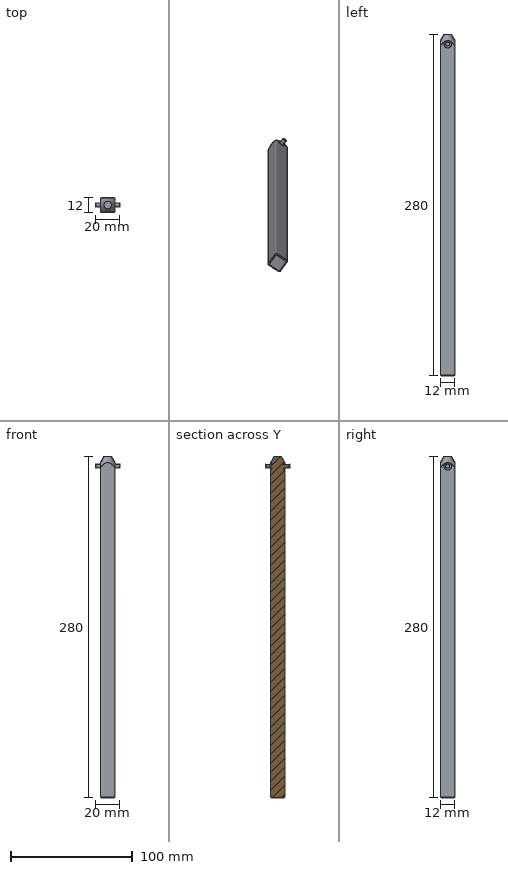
import cadquery as cq
import math

length = 280.0
width = 12.0
half_width = width / 2
corner_radius = 1.0
foot_chamfer = 0.8

tip_radius = 3.0
nose_half_angle = 30
nose_base_radius = 8.5
nose_depth = (nose_base_radius - tip_radius) / math.tan(math.radians(nose_half_angle))

pin_length = 20.0
pin_diameter = 3.5
pin_depth = 8.0
pin_z = length - pin_depth
countersink_diameter = 6.2
countersink_depth = 1.5


def square_bar():
    bar = cq.Workplane("XY").rect(width, width).extrude(length)
    bar = bar.edges("|Z").fillet(corner_radius)
    return bar.faces("<Z").edges().chamfer(foot_chamfer)


def nose_envelope():
    """Solid of revolution whose cone trims the top of the bar."""
    return (
        cq.Workplane("XZ")
        .lineTo(nose_base_radius, 0)
        .lineTo(nose_base_radius, length - nose_depth)
        .lineTo(tip_radius, length)
        .lineTo(0, length)
        .close()
        .revolve(360, (0, 0), (0, 1))
    )


def cylinder_along_x(diameter, start, end):
    return (
        cq.Workplane("YZ", origin=(start, 0, pin_z))
        .circle(diameter / 2)
        .extrude(end - start)
    )


def countersink(side):
    """Cone that opens from the pin surface to the bar face on one side."""
    cone = cq.Solid.makeCone(
        countersink_diameter / 2,
        pin_diameter / 2,
        countersink_depth,
        pnt=cq.Vector(side * half_width, 0, pin_z),
        dir=cq.Vector(-side, 0, 0),
    )
    return cq.Workplane(cone)


body = square_bar().intersect(nose_envelope())

for side in (-1, 1):
    body = body.cut(countersink(side))

pin = cylinder_along_x(pin_diameter, -pin_length / 2, pin_length / 2)
result = body.union(pin)